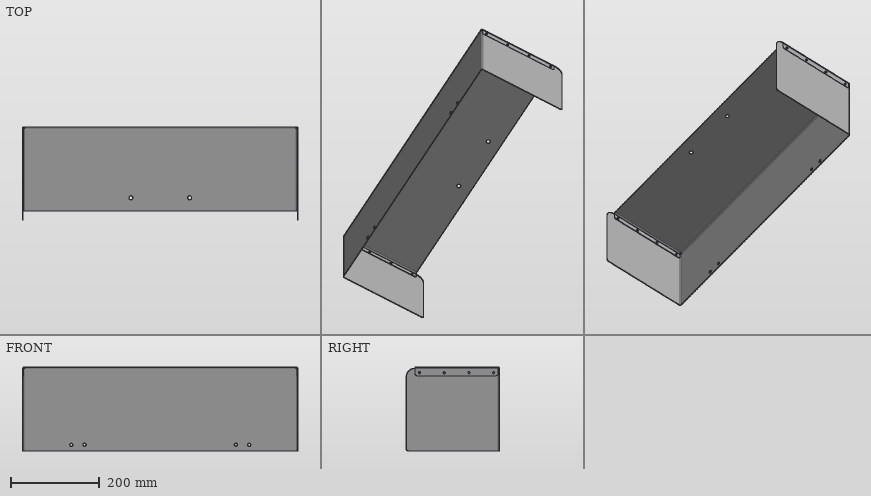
import cadquery as cq

width = 619.0
height = 189.0
side_depth = 209.5

sheet = 1.0
inner_bend = 2.0
outer_bend = inner_bend + sheet

side_height = height - outer_bend
side_top_corner = 20.0
side_bottom_corner = 5.0

top_depth = side_depth - side_top_corner

flange_gap = 0.5
flange_span = width - 2 * (sheet + flange_gap)
flange_height = 20.0
flange_corner = 5.0
flange_length = top_depth - outer_bend

back_hole_diameter = 6.5
back_hole_offsets = (170.0, 200.0)
back_hole_height = 14.0

top_hole_diameter = 8.5
top_hole_offset = 66.0
top_hole_setback = 30.0

rivet_diameter = 4.0
rivet_count = 4
rivet_end_distance = 10.0
rivet_pitch = (flange_length - 2 * rivet_end_distance) / (rivet_count - 1)
rivet_height = height - 13.0

clearance = 5.0


def channel(plane, span, leg):
    """U-shaped bent outline: base along the plane's first axis, legs reaching to -leg."""
    outside = span / 2
    inside = outside - sheet
    flat = outside - outer_bend
    return (
        cq.Workplane(plane)
        .moveTo(-outside, -leg)
        .lineTo(-outside, -outer_bend)
        .radiusArc((-flat, 0), outer_bend)
        .lineTo(flat, 0)
        .radiusArc((outside, -outer_bend), outer_bend)
        .lineTo(outside, -leg)
        .lineTo(inside, -leg)
        .lineTo(inside, -outer_bend)
        .radiusArc((flat, -sheet), -inner_bend)
        .lineTo(-flat, -sheet)
        .radiusArc((-inside, -outer_bend), -inner_bend)
        .lineTo(-inside, -leg)
        .close()
    )


def back_and_sides():
    """Back panel with a side panel bent forward at each end."""
    body = channel("XY", width, side_depth).extrude(side_height)
    body = body.faces("<Y").edges("|X").edges(">Z").fillet(side_top_corner)
    return body.faces("<Y").edges("|X").edges("<Z").fillet(side_bottom_corner)


def top_and_flanges():
    """Top panel with a flange bent down at each end."""
    body = channel("XZ", flange_span, flange_height).extrude(flange_length)
    body = body.translate((0, -outer_bend, height))
    return body.faces("<Z").edges("|X").fillet(flange_corner)


def rear_bend():
    """Quarter-round bend joining the back panel to the top panel."""
    length = flange_span - 2 * outer_bend
    return (
        cq.Workplane("YZ", origin=(-length / 2, 0, height))
        .moveTo(0, -outer_bend)
        .radiusArc((-outer_bend, 0), -outer_bend)
        .lineTo(-outer_bend, -sheet)
        .radiusArc((-sheet, -outer_bend), inner_bend)
        .close()
        .extrude(length)
    )


def back_holes():
    """Drills for the two pairs of holes near the lower edge of the back panel."""
    places = [(side * x, back_hole_height) for side in (-1, 1) for x in back_hole_offsets]
    return (
        cq.Workplane("XZ", origin=(0, clearance, 0))
        .pushPoints(places)
        .circle(back_hole_diameter / 2)
        .extrude(2 * clearance)
    )


def top_holes():
    """Drills for the two holes near the front edge of the top panel."""
    y = top_hole_setback - top_depth
    return (
        cq.Workplane("XY", origin=(0, 0, height - clearance))
        .pushPoints([(-top_hole_offset, y), (top_hole_offset, y)])
        .circle(top_hole_diameter / 2)
        .extrude(2 * clearance)
    )


def rivet_holes():
    """Drills passing through both side panels and both flanges."""
    first = outer_bend + rivet_end_distance
    places = [(-first - i * rivet_pitch, rivet_height) for i in range(rivet_count)]
    return (
        cq.Workplane("YZ")
        .pushPoints(places)
        .circle(rivet_diameter / 2)
        .extrude(width / 2 + clearance, both=True)
    )


sheet_body = back_and_sides().union(top_and_flanges()).union(rear_bend())
result = sheet_body.cut(back_holes()).cut(top_holes()).cut(rivet_holes())